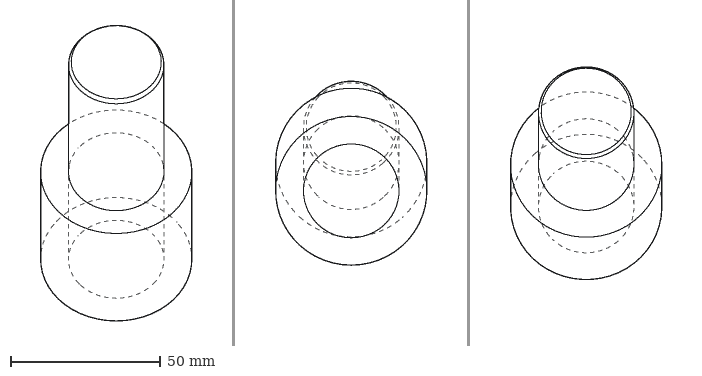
import cadquery as cq

total_height = 114.3
sleeve_diameter = 50.7
sleeve_height = 50.7
pin_diameter = 32.0
pin_chamfer_height = 1.6
pin_chamfer_width = 0.9


def make_pin():
    """Full-height round pin with a chamfered top edge."""
    pin = cq.Workplane("XY").circle(pin_diameter / 2).extrude(total_height)
    return pin.faces(">Z").chamfer(pin_chamfer_height, pin_chamfer_width)


def make_sleeve():
    """Plain round sleeve that surrounds the lower part of the pin."""
    return (
        cq.Workplane("XY")
        .circle(sleeve_diameter / 2)
        .circle(pin_diameter / 2)
        .extrude(sleeve_height)
    )


pin = make_pin()
sleeve = make_sleeve()

result = cq.Compound.makeCompound([pin.val(), sleeve.val()])